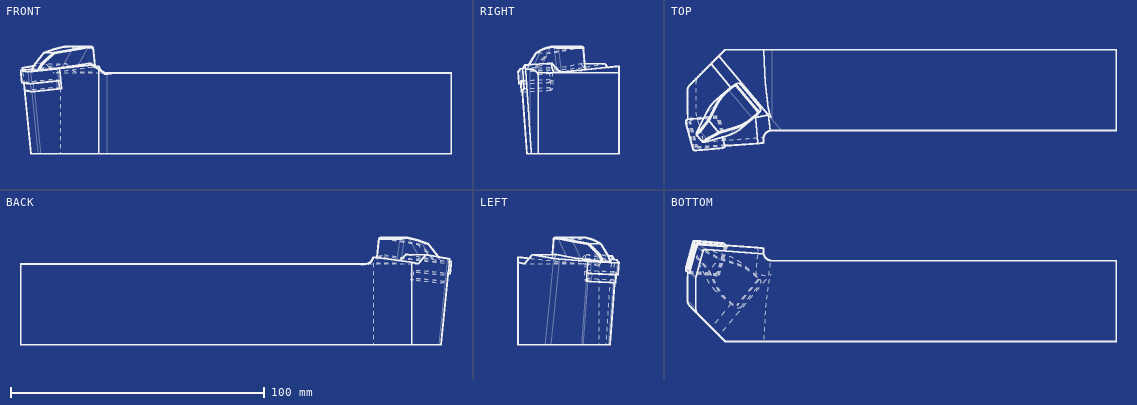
import cadquery as cq
import math

length = 170.0
shank_size = 32.0

nose = (3.0, -8.0, 32.3)
seat_rise_x = 0.1
seat_rise_y = 0.075

insert_side = 12.8
insert_thickness = 4.8
insert_corner_radius = 1.0
front_edge_angle = 5.0
side_edge_angle = 105.0

shim_thickness = 3.2
shim_inset = 0.7

head_inset = 1.0
head_front_angle = 4.0
head_side_x = 0.8
head_nose_radius = 1.0
head_side_radius = 2.2

head_end = 34.0
step_radius = 3.2
corner_cut_start = 15.6
corner_cut_radius = 3.2

clamp_angle = 40.0
valley_point = (13.3, 29.2, shank_size)
valley_front_slope = 40.0
valley_back_slope = 10.0
bevel_start_x = 28.9
bevel_slope = 37.0

clamp_tip = (5.8, -2.9)
clamp_lean = 36.0
clamp_tip_start = -0.8
clamp_tip_half_width = 2.2
clamp_flank_end = (5.6, 6.1)
clamp_bulge_end = (10.9, 7.5)
clamp_rear_half_width = 7.0
clamp_corner_radius = 1.2
clamp_rim = 0.3

tip_face_start = (-1.7, 1.0)
top_start = (7.0, 8.0)
crown_start = (20.7, 10.4)
crown_end = (24.3, 10.0)
clamp_foot = (25.8, 0)

overlap = 13.6
reach = 68.0
far = 510.0


def along(angle, distance=1.0):
    """Plan vector of a given direction and length."""
    turn = math.radians(angle)
    return cq.Vector(distance * math.cos(turn), distance * math.sin(turn))


def plane_rising(point, rise_x, rise_y):
    """Plane through a point with the given rises along X and Y."""
    return cq.Plane(origin=point, xDir=(1, 0, rise_x), normal=(-rise_x, -rise_y, 1))


def below(plane):
    """Everything under a plane."""
    return cq.Workplane(plane).rect(far, far).extrude(-far)


def below_slope(point, heading, slope):
    """Everything under a plane that rises at the slope angle toward a heading."""
    rise = along(heading, math.tan(math.radians(slope)))
    return below(plane_rising(point, rise.x, rise.y))


def nearest(point):
    return cq.NearestToPointSelector(point.toTuple())


seat = plane_rising(nose, seat_rise_x, seat_rise_y)


def rhombus(inset, depth, thickness):
    """Rounded rhombic plate, its top at a depth below the seat plane, shrunk by the inset."""
    front_end = along(front_edge_angle, insert_side)
    side_end = along(side_edge_angle, insert_side)
    plate = (
        cq.Workplane(seat)
        .workplane(offset=-depth)
        .polyline([(0, 0), front_end, front_end + side_end, side_end])
        .close()
    )
    if inset:
        plate = plate.offset2D(-inset)
    plate = plate.extrude(-thickness)
    return plate.edges(cq.ParallelDirSelector(seat.zDir)).fillet(insert_corner_radius)


def head_prism():
    """Left side, flank and front walls, set back from the insert and square to the seat plane."""
    nose_angle = math.radians(side_edge_angle - front_edge_angle)
    setback = head_inset / math.sin(nose_angle)
    corner = along(front_edge_angle, setback) + along(side_edge_angle, setback)

    side_x = head_side_x - nose[0]
    flank = along(side_edge_angle)
    side_end = corner + flank * ((side_x - corner.x) / flank.x)
    front = along(head_front_angle)
    front_end = corner + front * ((reach - corner.x) / front.x)

    prism = (
        cq.Workplane(seat)
        .workplane(offset=overlap)
        .polyline([corner, front_end, (reach, reach), (side_x, reach), side_end])
        .close()
        .extrude(-reach)
    )
    mid_depth = cq.Vector(0, 0, overlap - reach / 2)
    for edge_point, radius in ((corner, head_nose_radius), (side_end, head_side_radius)):
        prism = prism.edges(nearest(seat.toWorldCoords(edge_point + mid_depth))).fillet(radius)
    return prism


def head_plan():
    """Vertical walls: back face, 45 degree corner cut and the rounded step to the shank front."""
    step_x = head_end - step_radius
    cut_end_x = corner_cut_start - reach
    return (
        cq.Workplane("XY")
        .moveTo(head_end, shank_size)
        .lineTo(corner_cut_start, shank_size)
        .lineTo(cut_end_x, shank_size - reach)
        .lineTo(step_x, shank_size - reach)
        .lineTo(step_x, -step_radius)
        .radiusArc((head_end, 0), step_radius)
        .close()
        .extrude(shank_size + overlap)
    )


def head_profile():
    """Side profile with the rounded step from the raised head down to the shank top."""
    step_x = head_end - step_radius
    top = shank_size + overlap
    return (
        cq.Workplane("XZ", origin=(0, far / 2, 0))
        .moveTo(-reach, 0)
        .lineTo(head_end, 0)
        .lineTo(head_end, shank_size)
        .radiusArc((step_x, shank_size + step_radius), step_radius)
        .lineTo(step_x, top)
        .lineTo(-reach, top)
        .close()
        .extrude(far)
    )


def make_head():
    head = head_prism().intersect(head_plan()).intersect(head_profile())
    height = shank_size / 2
    edge_x = head_side_x + (nose[2] - height) * seat_rise_x
    edge = cq.Vector(edge_x, shank_size - corner_cut_start + edge_x, height)
    return head.edges(nearest(edge)).fillet(corner_cut_radius)


def top_envelope():
    """Space below the seat plane, the end bevel and the valley."""
    bevel_point = seat.toWorldCoords((bevel_start_x - nose[0], 0, 0))
    bevel = below_slope(bevel_point, 180, bevel_slope)
    valley_front = below_slope(valley_point, clamp_angle + 180, valley_front_slope)
    valley_back = below_slope(valley_point, clamp_angle, valley_back_slope)
    return below(seat).intersect(bevel).intersect(valley_front).union(valley_back)


def clamp_prism(base, axis):
    """Outline of the clamp swept along its backward lean."""
    lean = along(clamp_lean)
    up = cq.Vector(0, 0, 1)
    cross_plane = cq.Plane(
        origin=base,
        xDir=axis * lean.x - up * lean.y,
        normal=axis * lean.y + up * lean.x,
    )
    rear = clamp_foot[0]
    return (
        cq.Workplane(cross_plane)
        .workplane(offset=-reach / 2)
        .moveTo(clamp_tip_start, 0)
        .lineTo(clamp_tip_start, clamp_tip_half_width)
        .lineTo(*clamp_flank_end)
        .tangentArcPoint(clamp_bulge_end, relative=False)
        .lineTo(rear, clamp_rear_half_width)
        .lineTo(rear, 0)
        .mirrorX()
        .extrude(reach)
    )


def make_clamp():
    axis = along(clamp_angle)
    base = cq.Vector(*clamp_tip, shank_size)
    side_plane = cq.Plane(origin=base, xDir=axis, normal=along(clamp_angle - 90))
    profile = (
        cq.Workplane(side_plane)
        .workplane(offset=-reach / 2)
        .moveTo(tip_face_start[0], 0)
        .lineTo(*tip_face_start)
        .lineTo(*top_start)
        .lineTo(*crown_start)
        .tangentArcPoint(crown_end, relative=False)
        .lineTo(*clamp_foot)
        .close()
        .extrude(reach)
    )
    clamp = clamp_prism(base, axis).intersect(profile)

    rear_x = (crown_end[0] + clamp_foot[0]) / 2
    for side in (-1, 1):
        rear_edge = cq.Vector(rear_x, crown_end[1] / 2, side * clamp_rear_half_width)
        clamp = clamp.edges(nearest(side_plane.toWorldCoords(rear_edge))).fillet(clamp_corner_radius)

    upward = clamp.faces().filter(lambda face: face.normalAt().z > 0.5)
    rim = upward.edges().filter(
        lambda edge: abs(side_plane.toLocalCoords(edge.Center()).z) > clamp_tip_half_width / 2
    )
    return clamp.newObject(rim.vals()).chamfer(clamp_rim)


def make_insert():
    return rhombus(0, 0, insert_thickness)


def make_holder():
    shank_length = length - head_end
    shank = cq.Workplane("XY", origin=(head_end, 0, 0)).box(
        shank_length, shank_size, shank_size, centered=False
    )
    body = make_head().union(shank).intersect(top_envelope())
    pocket = rhombus(0, 0, insert_thickness + shim_thickness)
    shim = rhombus(shim_inset, insert_thickness, shim_thickness)
    clamp = make_clamp().cut(make_insert())
    return body.cut(pocket).union(shim).union(clamp)


holder = make_holder()
insert = make_insert()
result = cq.Compound.makeCompound([holder.solids().val(), insert.solids().val()])